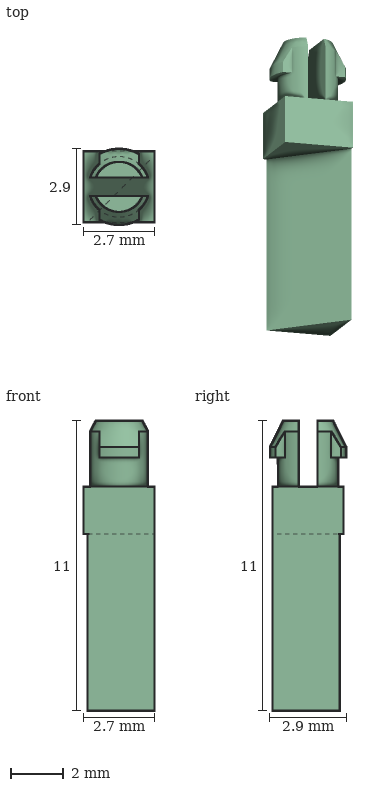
import cadquery as cq

TOTAL_HEIGHT = 11.0

BLOCK_SIDE = 2.7
BLOCK_TOP = 8.5
BLOCK_HEIGHT = 1.8

LEG_SETBACK = 0.15

PIN_RADIUS = 1.15
SLOT_WIDTH = 0.7
TIP_RADIUS = 0.95

BARB_RADIUS = 1.45
BARB_WIDTH = 1.5
BARB_CONE_HEIGHT = 1.0
BARB_RIM_HEIGHT = 0.4

HALF_SIDE = BLOCK_SIDE / 2
BLOCK_BOTTOM = BLOCK_TOP - BLOCK_HEIGHT
PIN_HEIGHT = TOTAL_HEIGHT - BLOCK_TOP
RIM_TOP = TOTAL_HEIGHT - BARB_CONE_HEIGHT
RIM_BOTTOM = RIM_TOP - BARB_RIM_HEIGHT


def make_leg():
    """Right-angled triangular prism, its corner under the +X, -Y corner of the block."""
    set_back = HALF_SIDE - LEG_SETBACK
    corners = [(-set_back, -HALF_SIDE), (HALF_SIDE, -HALF_SIDE), (HALF_SIDE, set_back)]
    return cq.Workplane("XY").polyline(corners).close().extrude(BLOCK_BOTTOM)


def make_block():
    return (
        cq.Workplane("XY")
        .workplane(offset=BLOCK_BOTTOM)
        .rect(BLOCK_SIDE, BLOCK_SIDE)
        .extrude(BLOCK_HEIGHT)
    )


def make_flared_head(bottom):
    """Solid of revolution from the given height up: straight rim, then a cone to the tip."""
    profile = [
        (0, bottom),
        (BARB_RADIUS, bottom),
        (BARB_RADIUS, RIM_TOP),
        (TIP_RADIUS, TOTAL_HEIGHT),
        (0, TOTAL_HEIGHT),
    ]
    return cq.Workplane("XZ").polyline(profile).close().revolve(360, (0, 0), (0, 1))


def make_pin():
    """Tapered round pin with a barb on its -Y and +Y sides, split along X by a slot."""
    shaft = cq.Workplane("XY").workplane(offset=BLOCK_TOP).circle(PIN_RADIUS).extrude(PIN_HEIGHT)
    shaft = shaft.intersect(make_flared_head(BLOCK_TOP))

    barb_band = (
        cq.Workplane("XY")
        .workplane(offset=BLOCK_TOP)
        .rect(BARB_WIDTH, 2 * BARB_RADIUS)
        .extrude(PIN_HEIGHT)
    )
    barbs = make_flared_head(RIM_BOTTOM).intersect(barb_band)

    slot = (
        cq.Workplane("XY")
        .workplane(offset=BLOCK_TOP)
        .rect(2 * BARB_RADIUS, SLOT_WIDTH)
        .extrude(PIN_HEIGHT)
    )
    return shaft.union(barbs).cut(slot)


result = make_block().union(make_leg()).union(make_pin())